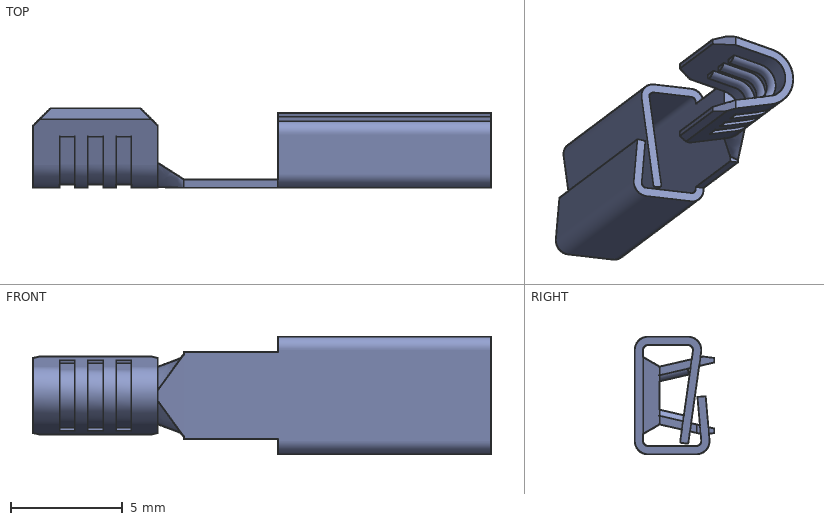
import cadquery as cq
import math


STRIP = 0.38
TOTAL_LENGTH = 20.45

BARREL_LENGTH = 5.58
BARREL_RADIUS = 1.305
ARM_SPLAY = math.radians(13)
ARM_TIP_Y = 3.56
ARM_BEVEL_Y = 3.07
ARM_TIP_HALF_HEIGHT = 1.68
ARM_CORNER = 0.79

RIB_COUNT = 3
RIB_WIDTH = 0.68
RIB_PITCH = 1.26
RIB_ARM_LENGTH = 1.31
GROOVE_DEPTH = 0.14
RIDGE_HEIGHT = 0.27

LINK_START = 6.74
LINK_HALF_WIDTH = 1.945
NECK_BACK_HALF_WIDTH = 1.85
NECK_FRONT_HALF_WIDTH = 1.72
NECK_DEPTH = 1.12
NECK_FLAT = 0.5

BOX_START = 10.93
BOX_HALF_HEIGHT = 2.63
BEND_RADIUS = 0.6
INNER_FLAP_DEPTH = 2.98
INNER_FLAP_TILT = math.radians(8)
INNER_FLAP_LENGTH = 4.15
INNER_FLAP_ROUND = 0.08
OUTER_FLAP_DEPTH = 3.35
OUTER_FLAP_TILT = math.radians(5)
OUTER_FLAP_LENGTH = 1.96


def section_at(x):
    """Cross-section plane at x, with local axes Y and Z."""
    return cq.Workplane("YZ", origin=(x, 0, 0))


def arm_point(inset, along):
    """Point on the +Z arm: inset from its outside face, along it from the end of the U."""
    radius = BARREL_RADIUS - inset
    y = BARREL_RADIUS - radius * math.sin(ARM_SPLAY) + along * math.cos(ARM_SPLAY)
    z = radius * math.cos(ARM_SPLAY) + along * math.sin(ARM_SPLAY)
    return (y, z)


def arm_point_at_depth(inset, depth):
    """Point on the +Z arm at a given Y."""
    start_y = arm_point(inset, 0)[0]
    return arm_point(inset, (depth - start_y) / math.cos(ARM_SPLAY))


def mirrored(point):
    return (point[0], -point[1])


def make_channel(arm_end):
    """U channel whose +Z arm ends in the points arm_end, listed from outside to inside."""
    outer = arm_point(0, 0)
    inner = arm_point(STRIP, 0)
    profile = section_at(0).moveTo(*mirrored(outer)).threePointArc((0, 0), outer)
    for point in arm_end:
        profile = profile.lineTo(*point)
    profile = profile.lineTo(*inner).threePointArc((STRIP, 0), mirrored(inner))
    for point in reversed(arm_end):
        profile = profile.lineTo(*mirrored(point))
    return profile.close().extrude(BARREL_LENGTH)


def make_barrel():
    arm_end = [
        arm_point_at_depth(0, ARM_BEVEL_Y),
        (ARM_TIP_Y, ARM_TIP_HALF_HEIGHT),
        arm_point_at_depth(STRIP, ARM_TIP_Y),
    ]
    barrel = make_channel(arm_end)
    for end_x, inward in ((0, 1), (BARREL_LENGTH, -1)):
        corner = (
            cq.Workplane("XY")
            .polyline([
                (end_x, ARM_TIP_Y),
                (end_x + inward * ARM_CORNER, ARM_TIP_Y),
                (end_x, ARM_TIP_Y - ARM_CORNER),
            ])
            .close()
            .extrude(BOX_HALF_HEIGHT, both=True)
        )
        barrel = barrel.cut(corner)
    return barrel


def follow_u(profile):
    """Carry a profile, drawn in XY at the bottom of the U, around the bend and along both arms."""
    outline = profile.val()

    def fresh_profile():
        return cq.Workplane("XY").add(outline).toPending()

    axis_start = (0, BARREL_RADIUS, 0)
    axis_end = (1, BARREL_RADIUS, 0)
    half_bend = 90 - math.degrees(ARM_SPLAY)
    bend = fresh_profile().revolve(2 * half_bend, axis_start, axis_end)
    bend = bend.rotate(axis_start, axis_end, -half_bend)
    upper_arm = fresh_profile().extrude(RIB_ARM_LENGTH).rotate(axis_start, axis_end, -half_bend)
    return bend.union(upper_arm).union(upper_arm.mirror("XY"))


def rib_groove(x):
    return follow_u(cq.Workplane("XY").moveTo(x, 0).rect(RIB_WIDTH, 2 * GROOVE_DEPTH))


def rib_bead(x):
    """Round-crested bead, rooted in the strip down to the groove floor."""
    left = x - RIB_WIDTH / 2
    right = x + RIB_WIDTH / 2
    profile = (
        cq.Workplane("XY")
        .moveTo(left, GROOVE_DEPTH)
        .lineTo(right, GROOVE_DEPTH)
        .lineTo(right, STRIP)
        .threePointArc((x, STRIP + RIDGE_HEIGHT), (left, STRIP))
        .close()
    )
    return follow_u(profile)


def press_ribs(barrel):
    first_x = (BARREL_LENGTH - (RIB_COUNT - 1) * RIB_PITCH) / 2
    for index in range(RIB_COUNT):
        x = first_x + index * RIB_PITCH
        barrel = barrel.union(rib_bead(x)).cut(rib_groove(x))
    return barrel


def u_point(angle):
    """Point on the outside of the U bend, at an angle from its bottom."""
    return (BARREL_RADIUS * (1 - math.cos(angle)), BARREL_RADIUS * math.sin(angle))


def make_neck():
    """Solid neck blending the closed end of the U into the flat link."""
    half_flat = NECK_FLAT / 2
    flat = u_point(math.asin(half_flat / BARREL_RADIUS))
    top_angle = math.acos(1 - NECK_DEPTH / BARREL_RADIUS)
    top = u_point(top_angle)
    middle = u_point(top_angle / 2)
    u_end = (
        section_at(BARREL_LENGTH)
        .moveTo(*top)
        .threePointArc(middle, flat)
        .lineTo(*mirrored(flat))
        .threePointArc(mirrored(middle), mirrored(top))
        .close()
        .val()
    )
    link_end = (
        section_at(LINK_START)
        .polyline([
            (STRIP, NECK_FRONT_HALF_WIDTH),
            (0, NECK_BACK_HALF_WIDTH),
            (0, -NECK_BACK_HALF_WIDTH),
            (STRIP, -NECK_FRONT_HALF_WIDTH),
        ])
        .close()
        .val()
    )
    return cq.Workplane(cq.Solid.makeLoft([u_end, link_end], True))


def make_link():
    return cq.Workplane("XY").box(
        BOX_START - LINK_START, STRIP, 2 * LINK_HALF_WIDTH, centered=(False, False, True)
    ).translate((LINK_START, 0, 0))


def half_box(depth, tilt, flap_length):
    """+Z half of the box: back, side and a flap that leans back in by tilt."""
    inner_radius = BEND_RADIUS - STRIP
    bend_z = BOX_HALF_HEIGHT - BEND_RADIUS
    flap_bend_y = depth - BEND_RADIUS

    def on_bend(center_y, radius, angle):
        return (center_y + radius * math.cos(angle), bend_z + radius * math.sin(angle))

    def flap_end(radius):
        y, z = on_bend(flap_bend_y, radius, -tilt)
        return (y - flap_length * math.sin(tilt), z - flap_length * math.cos(tilt))

    back_diagonal = math.radians(135)
    flap_diagonal = math.radians(45)
    wall_z = BOX_HALF_HEIGHT - STRIP
    return (
        section_at(BOX_START)
        .moveTo(0, 0)
        .lineTo(0, bend_z)
        .threePointArc(on_bend(BEND_RADIUS, BEND_RADIUS, back_diagonal), (BEND_RADIUS, BOX_HALF_HEIGHT))
        .lineTo(flap_bend_y, BOX_HALF_HEIGHT)
        .threePointArc(
            on_bend(flap_bend_y, BEND_RADIUS, flap_diagonal), on_bend(flap_bend_y, BEND_RADIUS, -tilt)
        )
        .lineTo(*flap_end(BEND_RADIUS))
        .lineTo(*flap_end(inner_radius))
        .lineTo(*on_bend(flap_bend_y, inner_radius, -tilt))
        .threePointArc(on_bend(flap_bend_y, inner_radius, flap_diagonal), (flap_bend_y, wall_z))
        .lineTo(BEND_RADIUS, wall_z)
        .threePointArc(on_bend(BEND_RADIUS, inner_radius, back_diagonal), (STRIP, bend_z))
        .lineTo(STRIP, 0)
        .close()
        .extrude(TOTAL_LENGTH - BOX_START)
    )


def make_box():
    upper = half_box(INNER_FLAP_DEPTH, INNER_FLAP_TILT, INNER_FLAP_LENGTH)
    tip_edges = cq.selectors.BoxSelector(
        (BOX_START, STRIP, -BOX_HALF_HEIGHT), (TOTAL_LENGTH, OUTER_FLAP_DEPTH, -BEND_RADIUS)
    )
    upper = upper.edges("|X").edges(tip_edges).fillet(INNER_FLAP_ROUND)
    lower = half_box(OUTER_FLAP_DEPTH, OUTER_FLAP_TILT, OUTER_FLAP_LENGTH).mirror("XY")
    return upper.union(lower)


wire_barrel = press_ribs(make_barrel())
result = wire_barrel.union(make_neck()).union(make_link()).union(make_box())